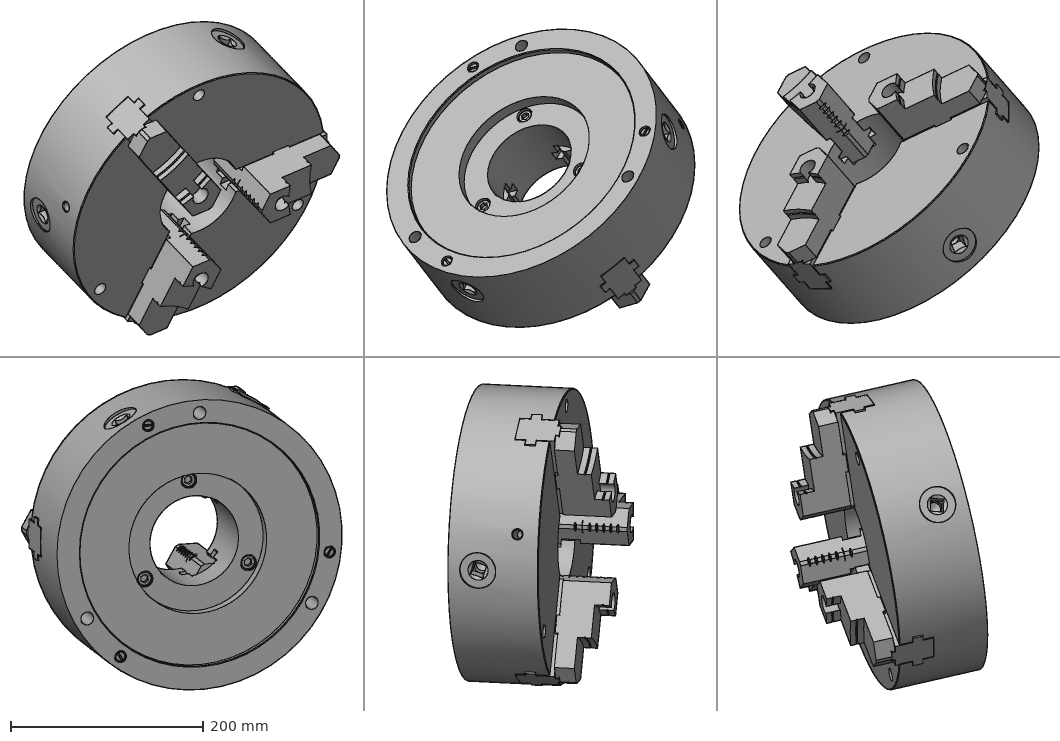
import cadquery as cq
import math


REPEAT_COUNT = 3
REPEAT_ANGLE = 360 / REPEAT_COUNT

BODY_RADIUS = 155.0
BODY_LENGTH = 95.8
BODY_CHAMFER = 1.0
BORE_RADIUS = 48.0
REGISTER_RADIUS = 129.8
REGISTER_DEPTH = 6.5
REGISTER_CHAMFER = 1.0
INNER_RECESS_RADIUS = 75.0
INNER_RECESS_FLOOR = 19.5

MOUNT_CIRCLE_RADIUS = 141.0
MOUNT_HOLE_RADIUS = 7.0
MOUNT_ANGLE = 90

RIM_SCREW_CIRCLE_RADIUS = 142.5
RIM_SCREW_ANGLE = 67
RIM_SCREW_RADIUS = 6.2
RIM_SCREW_CHAMFER = 1.5
RIM_SCREW_SINK = 1.2
SLOT_WIDTH = 2.0
SLOT_DEPTH = 3.0

INNER_SCREW_CIRCLE_RADIUS = 65.2
INNER_SCREW_ANGLE = 85
INNER_SCREW_RADIUS = 8.5
INNER_SCREW_CHAMFER = 1.5
INNER_SCREW_SINK = 2.0
HEX_CORNER_DIAMETER = 9.0
HEX_DEPTH = 4.7

PINION_X = 31.5
PINION_ANGLE = 60
PINION_RADIUS = 19.0
PINION_FACE_RADIUS = 152.3
SOCKET_SIDE = 13.7
SOCKET_TILT = -17
SOCKET_DEPTH = 15.5
SOCKET_DRILL_DEPTH = 25.0
SOCKET_MOUTH_RADIUS = 10.5
SOCKET_MOUTH_DEPTH = 2.5
SOCKET_POINT_DEPTH = 4.0

OIL_HOLE_X = 72.7
OIL_HOLE_ANGLE = 165
OIL_HOLE_RADIUS = 5.0
OIL_HOLE_MOUTH_RADIUS = 6.0
OIL_HOLE_DEPTH = 28.0
OIL_HOLE_POINT_DEPTH = 2.8

TIP_RADIUS = 42.0
TIP_HALF_WIDTH = 2.2
WEDGE_SLOPE = math.tan(math.radians(30))
JAW_WIDTH = 40.0
JAW_OUTER_RADIUS = 157.0

MASTER_START = 58.5
MASTER_END = 100.5
MASTER_WIDTH = 31.2
MASTER_OUTER_RADIUS = 155.5
WING_START = 70.2
WING_END = 81.5
WING_WIDTH = 44.5
TONGUE_WIDTH = 13.7
TONGUE_END = 104.0
TONGUE_SLOT_END = 104.5

CROSS_KEY_START = 97.5
CROSS_KEY_INNER_RADIUS = 90.0
CROSS_KEY_OUTER_RADIUS = 109.5
LOWER_STEP_X = 121.7
LOWER_STEP_RADIUS = 113.0
UPPER_STEP_X = 136.5
UPPER_STEP_RADIUS = 77.0
JAW_END = 152.0
STEP_CURVE_RADIUS = 99.8
STEP_GROOVE_DEPTH = 1.0
LOWER_GROOVE_X = 129.5
UPPER_GROOVE_X = 145.0
BOLT_RELIEF_RADIUS = 9.5
BOLT_RELIEF_CENTRE_RADIUS = 67.7

SERRATION_DEPTH = 1.4
SERRATION_BOTTOM_WIDTH = 0.5
SERRATION_MOUTH_WIDTH = 2.8
MASTER_SERRATION_X = 96.7
FIRST_SERRATION_X = 112.0
SERRATION_PITCH = 7.5
SERRATION_COUNT = 5


def around_axis(shape, first_angle):
    """Evenly spaced copies of a shape on the +Y side, turned about X."""
    copies = shape.rotate((0, 0, 0), (1, 0, 0), first_angle)
    for i in range(1, REPEAT_COUNT):
        copies = copies.union(shape.rotate((0, 0, 0), (1, 0, 0), first_angle + i * REPEAT_ANGLE))
    return copies


def block(x_start, x_end, y_start, y_end, width):
    """Box centred on Z = 0."""
    box = cq.Workplane("XY").box(x_end - x_start, y_end - y_start, width, centered=(False, False, True))
    return box.translate((x_start, y_start, 0))


def axial_cylinder(radius, x_start, x_end):
    return cq.Workplane("YZ").workplane(offset=x_start).circle(radius).extrude(x_end - x_start)


def body():
    profile = [
        (INNER_RECESS_FLOOR, BORE_RADIUS),
        (INNER_RECESS_FLOOR, INNER_RECESS_RADIUS),
        (REGISTER_DEPTH, INNER_RECESS_RADIUS),
        (REGISTER_DEPTH, REGISTER_RADIUS),
        (REGISTER_CHAMFER, REGISTER_RADIUS),
        (0, REGISTER_RADIUS + REGISTER_CHAMFER),
        (0, BODY_RADIUS),
        (BODY_LENGTH - BODY_CHAMFER, BODY_RADIUS),
        (BODY_LENGTH, BODY_RADIUS - BODY_CHAMFER),
        (BODY_LENGTH, BORE_RADIUS),
    ]
    return cq.Workplane("XY").polyline(profile).close().revolve(360, (0, 0, 0), (1, 0, 0))


def mounting_holes():
    hole = axial_cylinder(MOUNT_HOLE_RADIUS, 0, BODY_LENGTH).translate((0, MOUNT_CIRCLE_RADIUS, 0))
    return around_axis(hole, MOUNT_ANGLE)


def screw_recess(radius, chamfer, sink):
    """Space around a sunk screw head with a chamfered rim, opening at X = 0."""
    profile = [(0, 0), (sink, 0), (sink, radius - chamfer), (sink + chamfer, radius), (0, radius)]
    return cq.Workplane("XY").polyline(profile).close().revolve(360, (0, 0, 0), (1, 0, 0))


def rim_screws():
    recess = screw_recess(RIM_SCREW_RADIUS, RIM_SCREW_CHAMFER, RIM_SCREW_SINK)
    slot_length = 2 * (RIM_SCREW_RADIUS - RIM_SCREW_CHAMFER)
    slot = block(0, RIM_SCREW_SINK + SLOT_DEPTH, -slot_length / 2, slot_length / 2, SLOT_WIDTH)
    slot = slot.rotate((0, 0, 0), (1, 0, 0), -RIM_SCREW_ANGLE)
    screw = recess.union(slot).translate((0, RIM_SCREW_CIRCLE_RADIUS, 0))
    return around_axis(screw, RIM_SCREW_ANGLE)


def inner_screws():
    recess = screw_recess(INNER_SCREW_RADIUS, INNER_SCREW_CHAMFER, INNER_SCREW_SINK)
    socket = cq.Workplane("YZ").polygon(6, HEX_CORNER_DIAMETER).extrude(INNER_SCREW_SINK + HEX_DEPTH)
    screw = recess.union(socket).translate((INNER_RECESS_FLOOR, INNER_SCREW_CIRCLE_RADIUS, 0))
    return around_axis(screw, INNER_SCREW_ANGLE)


def pinion_recesses():
    """Shallow round recess with a countersunk square socket around a deeper drilled hole."""
    drill_floor = PINION_FACE_RADIUS - SOCKET_DRILL_DEPTH
    socket_floor = PINION_FACE_RADIUS - SOCKET_DEPTH
    turned_profile = [
        (0, drill_floor - SOCKET_POINT_DEPTH),
        (SOCKET_SIDE / 2, drill_floor),
        (SOCKET_SIDE / 2, PINION_FACE_RADIUS - SOCKET_MOUTH_DEPTH),
        (SOCKET_MOUTH_RADIUS, PINION_FACE_RADIUS),
        (PINION_RADIUS, PINION_FACE_RADIUS),
        (PINION_RADIUS, BODY_RADIUS),
        (0, BODY_RADIUS),
    ]
    turned = cq.Workplane("XY").polyline(turned_profile).close().revolve(360, (0, 0, 0), (0, 1, 0))
    square = block(-SOCKET_SIDE / 2, SOCKET_SIDE / 2, socket_floor, PINION_FACE_RADIUS, SOCKET_SIDE)
    square = square.rotate((0, 0, 0), (0, 1, 0), SOCKET_TILT)
    pinion = turned.union(square).translate((PINION_X, 0, 0))
    return around_axis(pinion, PINION_ANGLE)


def oil_hole():
    floor = BODY_RADIUS - OIL_HOLE_DEPTH
    mouth_depth = OIL_HOLE_MOUTH_RADIUS - OIL_HOLE_RADIUS
    profile = [
        (0, floor - OIL_HOLE_POINT_DEPTH),
        (OIL_HOLE_RADIUS, floor),
        (OIL_HOLE_RADIUS, BODY_RADIUS - mouth_depth),
        (OIL_HOLE_MOUTH_RADIUS, BODY_RADIUS),
        (0, BODY_RADIUS),
    ]
    hole = cq.Workplane("XY").polyline(profile).close().revolve(360, (0, 0, 0), (0, 1, 0))
    return hole.translate((OIL_HOLE_X, 0, 0)).rotate((0, 0, 0), (1, 0, 0), OIL_HOLE_ANGLE)


def inner_wedge(half_width):
    """Corner points of the wedge-shaped inner jaw end."""
    corner = TIP_RADIUS + WEDGE_SLOPE * (half_width - TIP_HALF_WIDTH)
    return [
        (corner, -half_width),
        (TIP_RADIUS, -TIP_HALF_WIDTH),
        (TIP_RADIUS, TIP_HALF_WIDTH),
        (corner, half_width),
    ]


def outline_prism(points, x_start, x_end):
    return cq.Workplane("YZ").workplane(offset=x_start).polyline(points).close().extrude(x_end - x_start)


def jaw_slot():
    """Radial slot in the body with side grooves for the master jaw, starting at the chuck axis."""
    stem = block(MASTER_START, MASTER_END, 0, MASTER_OUTER_RADIUS, MASTER_WIDTH)
    return stem.union(block(WING_START, WING_END, 0, MASTER_OUTER_RADIUS, WING_WIDTH))


def master_jaw():
    """Fills the jaw slot from the wedge-shaped tip outwards, with a tongue on top."""
    half_width = WING_WIDTH / 2
    tip_space = [(0, -half_width)] + inner_wedge(half_width) + [(0, half_width)]
    jaw = jaw_slot().union(block(MASTER_END, TONGUE_END, 0, MASTER_OUTER_RADIUS, TONGUE_WIDTH))
    return jaw.cut(outline_prism(tip_space, MASTER_START, TONGUE_END))


def step_cutter(step_radius, step_x, groove_x):
    """Cylinder that leaves a concave step face with a V groove across it."""
    groove_radius = STEP_CURVE_RADIUS + STEP_GROOVE_DEPTH
    profile = [
        (step_x, 0),
        (step_x, STEP_CURVE_RADIUS),
        (groove_x - STEP_GROOVE_DEPTH, STEP_CURVE_RADIUS),
        (groove_x, groove_radius),
        (groove_x + STEP_GROOVE_DEPTH, STEP_CURVE_RADIUS),
        (JAW_END, STEP_CURVE_RADIUS),
        (JAW_END, 0),
    ]
    cutter = cq.Workplane("XY").polyline(profile).close().revolve(360, (0, 0, 0), (1, 0, 0))
    centre = step_radius + math.sqrt(STEP_CURVE_RADIUS**2 - (JAW_WIDTH / 2) ** 2)
    return cutter.translate((0, centre, 0))


def top_jaw():
    inner_end = inner_wedge(JAW_WIDTH / 2)
    outer_end = [(TIP_RADIUS + JAW_OUTER_RADIUS - y, z) for y, z in reversed(inner_end)]
    jaw = outline_prism(inner_end + outer_end, MASTER_END, JAW_END)
    jaw = jaw.cut(step_cutter(LOWER_STEP_RADIUS, LOWER_STEP_X, LOWER_GROOVE_X))
    jaw = jaw.cut(step_cutter(UPPER_STEP_RADIUS, UPPER_STEP_X, UPPER_GROOVE_X))
    bolt_relief = axial_cylinder(BOLT_RELIEF_RADIUS, UPPER_STEP_X, JAW_END)
    jaw = jaw.cut(bolt_relief.translate((0, BOLT_RELIEF_CENTRE_RADIUS, 0)))
    jaw = jaw.cut(block(MASTER_END, TONGUE_SLOT_END, 0, JAW_OUTER_RADIUS, TONGUE_WIDTH))
    cross_key = block(CROSS_KEY_START, MASTER_END, CROSS_KEY_INNER_RADIUS, CROSS_KEY_OUTER_RADIUS, JAW_WIDTH)
    return jaw.union(cross_key)


def tip_serration(x):
    """Flat-bottomed V notch straight across the tip, widening towards the chuck axis."""
    bottom = TIP_RADIUS + SERRATION_DEPTH
    notch = [
        (x - SERRATION_BOTTOM_WIDTH / 2, bottom),
        (x - SERRATION_MOUTH_WIDTH / 2, TIP_RADIUS),
        (x + SERRATION_MOUTH_WIDTH / 2, TIP_RADIUS),
        (x + SERRATION_BOTTOM_WIDTH / 2, bottom),
    ]
    return cq.Workplane("XY").polyline(notch).close().extrude(JAW_WIDTH / 2, both=True)


def jaw():
    whole = master_jaw().union(top_jaw())
    whole = whole.cut(tip_serration(MASTER_SERRATION_X))
    for i in range(SERRATION_COUNT):
        whole = whole.cut(tip_serration(FIRST_SERRATION_X + i * SERRATION_PITCH))
    return whole


result = body().cut(mounting_holes()).cut(rim_screws()).cut(inner_screws())
result = result.cut(pinion_recesses()).cut(oil_hole())
result = result.cut(around_axis(jaw_slot(), 0)).union(around_axis(jaw(), 0))